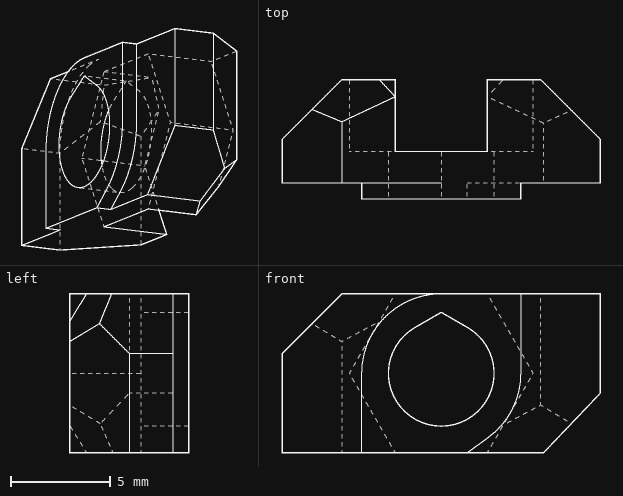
import cadquery as cq
import math

LENGTH = 16.0
HEIGHT = 8.0
BODY_THICKNESS = 5.2
CHAMFER = 3.0
LOWER_CHAMFER_RUN = 2.86

BOSS_HEIGHT = 0.8
BOSS_WIDTH = 8.0
BOSS_TANGENT_ANGLE = 54.0

HOLE_DIAMETER = 5.3
ROOF_SLOPE = 30.0
FLOOR_THICKNESS = 1.6
NUT_ACROSS_FLATS = 8.0
NUT_SIDES = 6

FACET_TILT = 45.0
FACET_TURN = 28.0

CUT_SIZE = 20.0
HALF_LENGTH = LENGTH / 2
HALF_HEIGHT = HEIGHT / 2


def front_sketch(start_y):
    """Workplane at Y = start_y with local axes X, Z; extrusion runs towards +Y."""
    return cq.Workplane(cq.Plane(origin=(0, start_y, 0), xDir=(1, 0, 0), normal=(0, -1, 0)))


def make_body():
    """Block with opposite corners cut in elevation and both back corners cut in plan."""
    elevation = (
        front_sketch(0)
        .moveTo(-HALF_LENGTH, -HALF_HEIGHT)
        .lineTo(HALF_LENGTH - LOWER_CHAMFER_RUN, -HALF_HEIGHT)
        .lineTo(HALF_LENGTH, -HALF_HEIGHT + CHAMFER)
        .lineTo(HALF_LENGTH, HALF_HEIGHT)
        .lineTo(-HALF_LENGTH + CHAMFER, HALF_HEIGHT)
        .lineTo(-HALF_LENGTH, HALF_HEIGHT - CHAMFER)
        .close()
        .extrude(-BODY_THICKNESS)
    )
    plan = (
        cq.Workplane("XY", origin=(0, 0, -HALF_HEIGHT))
        .moveTo(-HALF_LENGTH, 0)
        .lineTo(HALF_LENGTH, 0)
        .lineTo(HALF_LENGTH, BODY_THICKNESS - CHAMFER)
        .lineTo(HALF_LENGTH - CHAMFER, BODY_THICKNESS)
        .lineTo(-HALF_LENGTH + CHAMFER, BODY_THICKNESS)
        .lineTo(-HALF_LENGTH, BODY_THICKNESS - CHAMFER)
        .close()
        .extrude(HEIGHT)
    )
    return elevation.intersect(plan)


def make_facet_cutter():
    """Block on the outer side of the facet plane at the upper left back corner."""
    tilt = math.radians(FACET_TILT)
    turn = math.radians(FACET_TURN)
    normal = (
        -math.sin(tilt) * math.sin(turn),
        math.cos(tilt),
        math.sin(tilt) * math.cos(turn),
    )
    half_chamfer = CHAMFER / 2
    anchor = (
        -HALF_LENGTH + half_chamfer,
        BODY_THICKNESS - half_chamfer,
        HALF_HEIGHT - half_chamfer,
    )
    return cq.Workplane(cq.Plane(origin=anchor, normal=normal)).rect(CUT_SIZE, CUT_SIZE).extrude(CUT_SIZE)


def make_boss():
    """Low pad with rounded upper left and lower right corners."""
    radius = BOSS_WIDTH / 2
    tangent = math.radians(BOSS_TANGENT_ANGLE)
    tangent_point = (radius * math.cos(tangent), -radius * math.sin(tangent))
    arc_middle = (radius * math.cos(tangent / 2), -radius * math.sin(tangent / 2))
    flank_foot_x = (radius - HALF_HEIGHT * math.sin(tangent)) / math.cos(tangent)
    diagonal = radius * math.sqrt(0.5)
    return (
        front_sketch(-BOSS_HEIGHT)
        .moveTo(-radius, -HALF_HEIGHT)
        .lineTo(-radius, 0)
        .threePointArc((-diagonal, diagonal), (0, radius))
        .lineTo(radius, HALF_HEIGHT)
        .lineTo(radius, 0)
        .threePointArc(arc_middle, tangent_point)
        .lineTo(flank_foot_x, -HALF_HEIGHT)
        .close()
        .extrude(-BOSS_HEIGHT)
    )


def make_screw_hole():
    """Round hole whose upper side rises along two tangents to a point."""
    radius = HOLE_DIAMETER / 2
    slope = math.radians(ROOF_SLOPE)
    tangent_x = radius * math.sin(slope)
    tangent_z = radius * math.cos(slope)
    return (
        front_sketch(-BOSS_HEIGHT)
        .moveTo(tangent_x, tangent_z)
        .lineTo(0, radius / math.cos(slope))
        .lineTo(-tangent_x, tangent_z)
        .threePointArc((0, -radius), (tangent_x, tangent_z))
        .close()
        .extrude(-(BOSS_HEIGHT + BODY_THICKNESS))
    )


def make_nut_pocket():
    """Hexagon open at the back, with flats level with the top and bottom of the body."""
    across_corners = NUT_ACROSS_FLATS / math.cos(math.pi / NUT_SIDES)
    return (
        front_sketch(FLOOR_THICKNESS)
        .polygon(NUT_SIDES, across_corners)
        .extrude(-(BODY_THICKNESS - FLOOR_THICKNESS))
    )


body = make_body()
upper_left_facet = make_facet_cutter()
lower_right_facet = upper_left_facet.rotate((0, 0, 0), (0, 1, 0), 180)
body = body.cut(upper_left_facet).cut(lower_right_facet)

result = body.union(make_boss()).cut(make_screw_hole()).cut(make_nut_pocket())